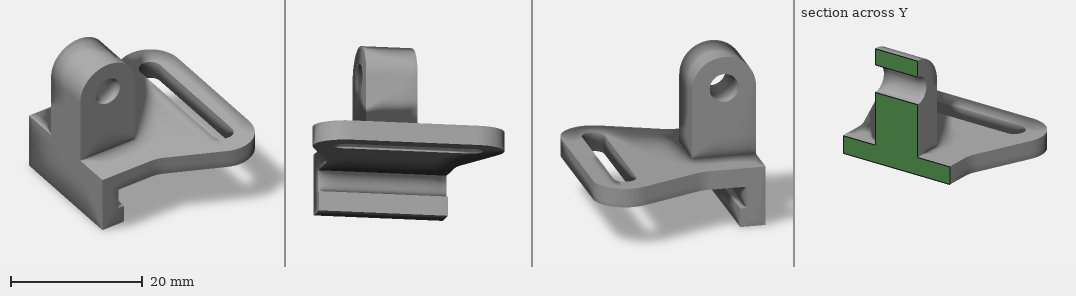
import cadquery as cq
import math

total_width = 29.58
total_depth = 27.0

plate_thickness = 3.0
corner_radius = 5.0
neck_width = 20.03
neck_length = 10.0
neck_fillet = 5.0
slot_width = 3.5

wall_drop = 6.42
wall_thickness = 3.0
lip_depth = 4.0
lip_height = 3.0

lug_width = 8.0
lug_depth = 10.0
lug_height = 16.0
hole_diameter = 4.5

corner_x = total_width / 2 - corner_radius
corner_y = total_depth - corner_radius
plate_bottom = wall_drop
plate_top = plate_bottom + plate_thickness
lug_radius = lug_depth / 2
lug_axis_z = plate_top + lug_height - lug_radius


def on_corner(angle):
    """Point on the right-hand rounded corner, angle measured from +X."""
    return (corner_x + corner_radius * math.cos(angle), corner_y + corner_radius * math.sin(angle))


def mirrored(point):
    return (-point[0], point[1])


def make_plate():
    neck_corner = (neck_width / 2, neck_length)
    run_x = corner_x - neck_corner[0]
    run_y = corner_y - neck_corner[1]
    taper_angle = math.asin(corner_radius / math.hypot(run_x, run_y)) + math.atan2(run_x, run_y)
    tangent_point = on_corner(-taper_angle)
    arc_middle = on_corner((math.pi / 2 - taper_angle) / 2)
    arc_end = on_corner(math.pi / 2)

    plate = (
        cq.Workplane("XY", origin=(0, 0, plate_bottom))
        .moveTo(-neck_width / 2, 0)
        .lineTo(neck_width / 2, 0)
        .lineTo(*neck_corner)
        .lineTo(*tangent_point)
        .threePointArc(arc_middle, arc_end)
        .lineTo(*mirrored(arc_end))
        .threePointArc(mirrored(arc_middle), mirrored(tangent_point))
        .lineTo(*mirrored(neck_corner))
        .close()
        .extrude(plate_thickness)
    )
    for corner in (neck_corner, mirrored(neck_corner)):
        edge_point = (corner[0], corner[1], plate_bottom + plate_thickness / 2)
        plate = plate.edges(cq.selectors.NearestToPointSelector(edge_point)).fillet(neck_fillet)

    slot = (
        cq.Workplane("XY", origin=(0, corner_y, plate_bottom))
        .slot2D(2 * corner_x + slot_width, slot_width)
        .extrude(plate_thickness)
    )
    return plate.cut(slot)


def make_wall():
    return (
        cq.Workplane("YZ")
        .polyline([
            (0, 0),
            (lip_depth, 0),
            (lip_depth, lip_height),
            (wall_thickness, lip_height),
            (wall_thickness, plate_top),
            (0, plate_top),
        ])
        .close()
        .extrude(neck_width / 2, both=True)
    )


def make_lug():
    lug = (
        cq.Workplane("YZ")
        .moveTo(0, plate_bottom)
        .lineTo(lug_depth, plate_bottom)
        .lineTo(lug_depth, lug_axis_z)
        .threePointArc((lug_radius, lug_axis_z + lug_radius), (0, lug_axis_z))
        .close()
        .extrude(lug_width / 2, both=True)
    )
    hole = (
        cq.Workplane("YZ")
        .center(lug_radius, lug_axis_z)
        .circle(hole_diameter / 2)
        .extrude(lug_width / 2, both=True)
    )
    return lug.cut(hole)


result = make_plate().union(make_wall()).union(make_lug())